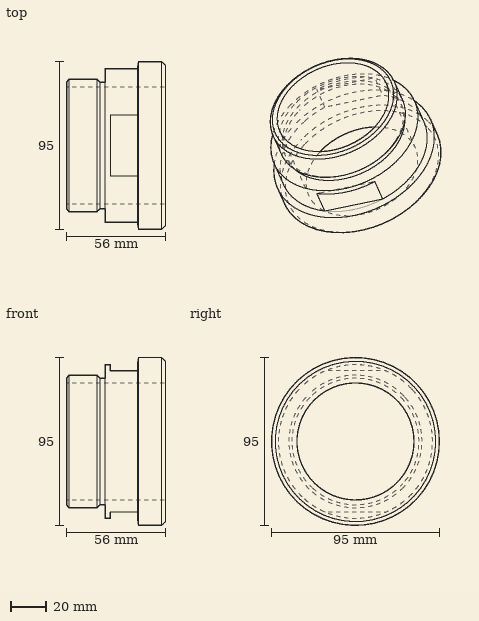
import cadquery as cq

bore_diameter = 66.0
spigot_diameter = 75.1
groove_diameter = 71.7
collar_diameter = 87.0
flange_diameter = 95.0
across_flats = 80.0

groove_start = 18.9
collar_start = 21.85
flat_start = 24.8
flange_start = 40.0
total_length = 56.0

spigot_end_chamfer = 1.3
spigot_end_diameter = 71.7
groove_chamfer = (spigot_diameter - groove_diameter) / 2
flange_face_rise = 0.7
flange_chamfer = 2.2


def turned_body():
    """Revolve the stepped half section, including the through bore."""
    bore_radius = bore_diameter / 2
    spigot_radius = spigot_diameter / 2
    groove_radius = groove_diameter / 2
    collar_radius = collar_diameter / 2
    flange_radius = flange_diameter / 2
    section = [
        (0, bore_radius),
        (0, spigot_end_diameter / 2),
        (spigot_end_chamfer, spigot_radius),
        (groove_start - groove_chamfer, spigot_radius),
        (groove_start, groove_radius),
        (collar_start, groove_radius),
        (collar_start, collar_radius),
        (flange_start, collar_radius),
        (flange_start + flange_face_rise, flange_radius),
        (total_length - flange_chamfer, flange_radius),
        (total_length, flange_radius - flange_chamfer),
        (total_length, bore_radius),
    ]
    return cq.Workplane("XY").polyline(section).close().revolve(360, (0, 0, 0), (1, 0, 0))


def flat_cutter(side):
    """Block that removes the collar beyond one wrench flat; side is +1 or -1 along Z."""
    flat_length = flange_start - flat_start
    cut_depth = (collar_diameter - across_flats) / 2
    center_x = (flat_start + flange_start) / 2
    center_z = side * (across_flats + cut_depth) / 2
    return cq.Workplane("XY").box(flat_length, collar_diameter, cut_depth).translate((center_x, 0, center_z))


result = turned_body()
for side in (1, -1):
    result = result.cut(flat_cutter(side))